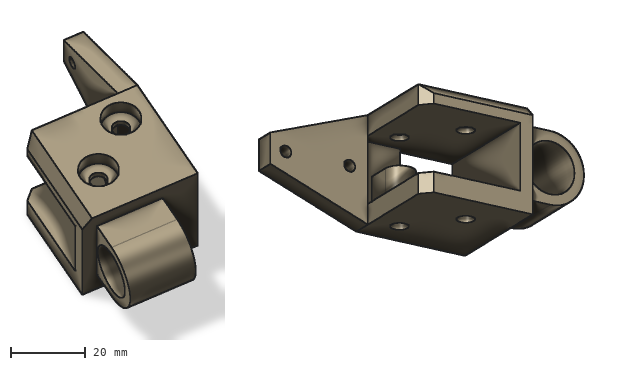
import cadquery as cq

block_length = 34.0
block_depth = 35.2
block_height = 31.6
plate_thickness = 6.0
end_wall = 4.0
edge_chamfer = 3.0
mid_height = block_height / 2

screw_1_x = 7.9
screw_1_y = block_depth - 9.3
screw_2_x = screw_1_x + 12.5
screw_2_y = screw_1_y - 13.6
screw_points = [(screw_1_x, screw_1_y), (screw_2_x, screw_2_y)]
screw_diameter = 5.0
head_diameter = 11.0
head_depth = 4.3

post_radius = 4.45
back_wall_thickness = 2.3
back_wall_length = screw_1_x + post_radius

arm_length = 30.5
arm_thickness = plate_thickness
arm_tip_height = 9.1
arm_hole_diameter = 3.4
arm_hole_spacing = 20.0
arm_inner_hole_x = -5.7
arm_hole_xs = [arm_inner_hole_x, arm_inner_hole_x - arm_hole_spacing]

ring_wall = 3.0
ring_bore = 15.3
ring_radius = ring_bore / 2 + ring_wall
ring_width = 20.0
ring_front_y = 4.5
overall_length = 83.25
ring_center_x = overall_length - arm_length - ring_radius
ring_center_z = plate_thickness + ring_radius


def box(x0, y0, z0, length, depth, height):
    return cq.Workplane("XY").box(length, depth, height, centered=False).translate((x0, y0, z0))


def front_plane(y):
    """XZ sketch plane at the given y; it extrudes toward -Y, or +Y for a negative distance."""
    return cq.Workplane("XZ", origin=(0, y, 0))


def make_block():
    """Two plates joined by the right end wall, with the front edges chamfered."""
    block = box(0, 0, 0, block_length, block_depth, block_height)
    block = block.edges("|Z and <X and <Y").chamfer(edge_chamfer)
    block = block.edges("<Y and >Z").chamfer(edge_chamfer)
    cavity = box(
        0, 0, plate_thickness,
        block_length - end_wall, block_depth, block_height - 2 * plate_thickness,
    )
    return block.cut(cavity)


def make_back_wall():
    """Short wall closing the left part of the cavity at the back."""
    return box(
        0, block_depth - back_wall_thickness, 0,
        back_wall_length, back_wall_thickness, block_height,
    )


def make_post():
    """Half-height post with a round front, extended straight to the back wall."""
    post = cq.Workplane("XY").center(screw_1_x, screw_1_y).circle(post_radius).extrude(mid_height)
    web = box(
        screw_1_x - post_radius, screw_1_y, 0,
        2 * post_radius, block_depth - screw_1_y, mid_height,
    )
    return post.union(web)


def make_arm():
    """Tapered arm with two cross holes on its centre line."""
    arm = (
        front_plane(block_depth)
        .moveTo(0, 0)
        .lineTo(0, block_height)
        .lineTo(-arm_length, mid_height + arm_tip_height / 2)
        .lineTo(-arm_length, mid_height - arm_tip_height / 2)
        .close()
        .extrude(arm_thickness)
    )
    holes = (
        front_plane(block_depth)
        .pushPoints([(x, mid_height) for x in arm_hole_xs])
        .circle(arm_hole_diameter / 2)
        .extrude(arm_thickness)
    )
    return arm.cut(holes)


def make_ring():
    """Round eye joined to the end wall by a straight neck of the same height."""
    ring = (
        front_plane(ring_front_y)
        .center(ring_center_x, ring_center_z)
        .circle(ring_radius)
        .extrude(-ring_width)
    )
    neck = box(
        block_length, ring_front_y, ring_center_z - ring_radius,
        ring_center_x - block_length, ring_width, 2 * ring_radius,
    )
    bore = (
        front_plane(ring_front_y)
        .center(ring_center_x, ring_center_z)
        .circle(ring_bore / 2)
        .extrude(-ring_width)
    )
    return ring.union(neck).cut(bore)


def make_screw_holes():
    """Through holes with head recesses in the top plate."""
    shanks = (
        cq.Workplane("XY")
        .pushPoints(screw_points)
        .circle(screw_diameter / 2)
        .extrude(block_height)
    )
    heads = (
        cq.Workplane("XY", origin=(0, 0, block_height - head_depth))
        .pushPoints(screw_points)
        .circle(head_diameter / 2)
        .extrude(head_depth)
    )
    return shanks.union(heads)


body = make_block().union(make_back_wall()).union(make_post())
body = body.union(make_arm()).union(make_ring())
result = body.cut(make_screw_holes())